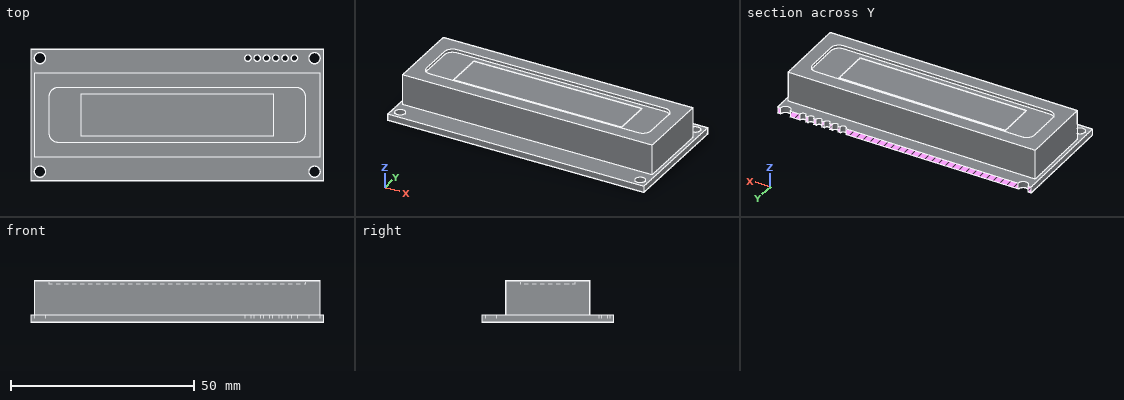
import cadquery as cq

BOARD_LENGTH = 80.0
BOARD_WIDTH = 36.0
TOTAL_HEIGHT = 11.4
HOUSING_HEIGHT = 9.4
BOARD_THICKNESS = TOTAL_HEIGHT - HOUSING_HEIGHT

HOLE_INSET = 2.5
MOUNTING_HOLE_DIAMETER = 3.0
PIN_HOLE_DIAMETER = 1.7
PIN_HOLE_COUNT = 6
PIN_PITCH = 2.54
LAST_PIN_INSET = 8.0

HOUSING_LENGTH = 78.0
HOUSING_WIDTH = 23.0

WINDOW_LENGTH = 70.0
WINDOW_WIDTH = 15.0
WINDOW_CORNER_RADIUS = 2.5
WINDOW_DEPTH = 1.0

SCREEN_LENGTH = 52.5
SCREEN_WIDTH = 11.5
SCREEN_RISE = 0.1


def plate(length, width, thickness, bottom):
    """Rectangular plate centred on the Z axis, with its underside at the given height."""
    return cq.Workplane("XY").workplane(offset=bottom).rect(length, width).extrude(thickness)


def make_board():
    hole_x = BOARD_LENGTH / 2 - HOLE_INSET
    hole_y = BOARD_WIDTH / 2 - HOLE_INSET
    last_pin_x = BOARD_LENGTH / 2 - LAST_PIN_INSET
    pin_centres = [(last_pin_x - i * PIN_PITCH, hole_y) for i in range(PIN_HOLE_COUNT)]

    mounting_holes = (
        cq.Workplane("XY")
        .rect(2 * hole_x, 2 * hole_y, forConstruction=True)
        .vertices()
        .circle(MOUNTING_HOLE_DIAMETER / 2)
        .extrude(BOARD_THICKNESS)
    )
    pin_holes = (
        cq.Workplane("XY")
        .pushPoints(pin_centres)
        .circle(PIN_HOLE_DIAMETER / 2)
        .extrude(BOARD_THICKNESS)
    )
    blank = plate(BOARD_LENGTH, BOARD_WIDTH, BOARD_THICKNESS, 0)
    return blank.cut(mounting_holes).cut(pin_holes)


def make_display_housing():
    block = plate(HOUSING_LENGTH, HOUSING_WIDTH, HOUSING_HEIGHT, BOARD_THICKNESS)
    window_floor = TOTAL_HEIGHT - WINDOW_DEPTH
    window = plate(WINDOW_LENGTH, WINDOW_WIDTH, WINDOW_DEPTH, window_floor)
    window = window.edges("|Z").fillet(WINDOW_CORNER_RADIUS)
    screen = plate(SCREEN_LENGTH, SCREEN_WIDTH, SCREEN_RISE, window_floor)
    return block.cut(window).union(screen)


board = make_board()
display_housing = make_display_housing()

result = cq.Compound.makeCompound([board.val(), display_housing.val()])